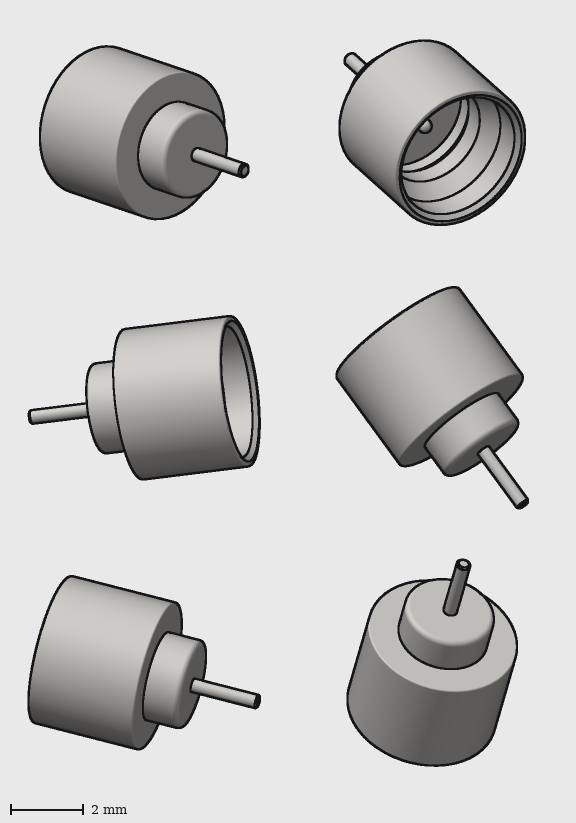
import cadquery as cq

total_length = 5.97

shell_radius = 2.085
shell_length = 3.045
shell_round = 0.05

collar_radius = 1.25
collar_end = 4.065
collar_round = 0.145

mouth_radius = 1.945
entry_radius = 1.8
mouth_chamfer = mouth_radius - entry_radius
taper_start = 0.9
taper_end = 1.445
bore_radius = 1.47
flare_start = 2.04
flare_end = 2.215
undercut_radius = 1.57
floor_x = 2.625

recess_radius = 0.395
recess_depth = 0.05

pin_radius = 0.19
pin_chamfer = 0.05
pin_tip_x = 1.73


def bar(start_x, end_x, radius):
    """Solid cylinder about the X axis."""
    return cq.Workplane("YZ").workplane(offset=start_x).circle(radius).extrude(end_x - start_x)


def make_body():
    """Shell and collar, with rounded outer edges."""
    shell = bar(0, shell_length, shell_radius).edges().fillet(shell_round)
    collar = bar(floor_x, collar_end, collar_radius).faces(">X").edges().fillet(collar_round)
    return shell.union(collar)


def make_cavity():
    """Stepped cavity: chamfered mouth, entry bore, taper, bore, flare and undercut."""
    profile = (
        cq.Workplane("XZ")
        .moveTo(0, 0)
        .lineTo(0, mouth_radius)
        .lineTo(mouth_chamfer, entry_radius)
        .lineTo(taper_start, entry_radius)
        .lineTo(taper_end, bore_radius)
        .lineTo(flare_start, bore_radius)
        .lineTo(flare_end, undercut_radius)
        .lineTo(floor_x, undercut_radius)
        .lineTo(floor_x, 0)
        .close()
    )
    cavity = profile.revolve(360, (0, 0, 0), (1, 0, 0))
    return cavity.union(bar(floor_x, floor_x + recess_depth, recess_radius))


def make_pin():
    """Centre pin with a ball nose at the front and a chamfered rear end."""
    nose_center_x = pin_tip_x + pin_radius
    shank = bar(nose_center_x, total_length, pin_radius).faces(">X").edges().chamfer(pin_chamfer)
    nose = cq.Workplane("XY").sphere(pin_radius).translate((nose_center_x, 0, 0))
    return shank.union(nose)


result = make_body().cut(make_cavity()).union(make_pin())